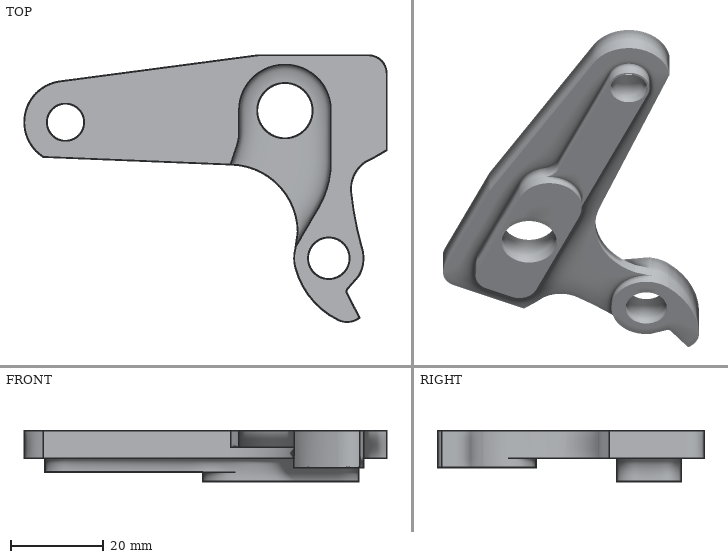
import cadquery as cq
import math

PLATE_BOTTOM = -6.0
HOOK_BOTTOM = -8.0
RIB_BOTTOM = -9.0
PAD_BOTTOM = -11.0
POCKET_FLOOR = -3.55

PIVOT_BORE_RADIUS = 6.0
ARM_X, ARM_Y = -47.6, -2.5
ARM_BORE_RADIUS = 4.0
HOOK_X, HOOK_Y = 9.5, -32.0
HOOK_BORE_RADIUS = 4.5

ARM_END_RADIUS = 9.0
PLATE_TOP = 12.0
PLATE_RIGHT = 22.1
CORNER_RADIUS = 4.0
SLOPE_END_X = -5.8
ARM_LOWER_LEFT = (-52.4, -10.1)
ARM_LOWER_RIGHT = (-11.8, -11.7)
THROAT_MIDDLE = (-1.2, -16.45)
THROAT_END = (2.75, -26.35)
PLATE_LOWER_RIGHT = (PLATE_RIGHT, -8.6)
NOTCH_CURVE_END = (19.4, -10.15)
NOTCH_TOP = (17.55, -11.1)
NOTCH_SIDE = (14.6, -15.0)
NECK_TOP = (14.4, -17.8)
NECK_MIDDLE = (14.8, -20.85)

LOBE_RADIUS = 7.55
LOBE_TOP_RIGHT_ANGLE = 12
LOBE_BOTTOM_RIGHT_ANGLE = -31
LOBE_TOP_LEFT_ANGLE = 166
LOBE_BOTTOM_LEFT_ANGLE = 195
TAIL_NOTCH_UPPER = (13.6, -38.6)
TAIL_NOTCH_MIDDLE = (13.4, -39.2)
TAIL_NOTCH_LOWER = (13.5, -39.7)
TAIL_POINT = (16.2, -44.9)
TAIL_LOWEST = (13.8, -45.9)
TAIL_CURVE_END = (11.65, -45.5)
TAIL_CURVE_MIDDLE = (5.7, -40.75)

POCKET_RADIUS = 10.0
POCKET_LEFT_BEND_Y = -5.1
POCKET_LEFT_BEND_END = (-10.5, -7.7)
POCKET_LEFT_EXIT = (-12.6, -14.1)
POCKET_RIGHT_BEND_Y = -11.2
POCKET_RIGHT_BEND_END = (7.4, -20.85)
POCKET_RIGHT_EXIT = (2.2, -29.7)

PAD_RADIUS = 7.0
PAD_CENTER_X = -10.85
PAD_RIGHT = 16.05
RIB_END_RADIUS = PAD_RADIUS + ARM_Y
RIB_FILLET = 4.0


def polar(x, y, radius, degrees):
    """Point on a circle about (x, y)."""
    angle = math.radians(degrees)
    return (x + radius * math.cos(angle), y + radius * math.sin(angle))


def layer(outline, bottom, top=0):
    """Extrude a closed XY outline between two levels."""
    return outline.extrude(top - bottom).translate((0, 0, bottom))


def disc(x, y, radius, bottom, top=0):
    return layer(cq.Workplane("XY").center(x, y).circle(radius), bottom, top)


def upper_arm_tangent():
    """Tangent point on the arm end of the slope to the plate's top edge."""
    dx = SLOPE_END_X - ARM_X
    dy = PLATE_TOP - ARM_Y
    direction = math.atan2(dy, dx) + math.acos(ARM_END_RADIUS / math.hypot(dx, dy))
    return polar(ARM_X, ARM_Y, ARM_END_RADIUS, math.degrees(direction))


def add_tail(path):
    """Continue clockwise from the right of the lobe around the tail to the left of the lobe."""
    return (
        path.lineTo(*TAIL_NOTCH_UPPER)
        .threePointArc(TAIL_NOTCH_MIDDLE, TAIL_NOTCH_LOWER)
        .lineTo(*TAIL_POINT)
        .threePointArc(TAIL_LOWEST, TAIL_CURVE_END)
        .threePointArc(TAIL_CURVE_MIDDLE, lobe_bottom_left)
    )


lobe_right = (HOOK_X + LOBE_RADIUS, HOOK_Y)
lobe_bottom_left = polar(HOOK_X, HOOK_Y, LOBE_RADIUS, LOBE_BOTTOM_LEFT_ANGLE)
lobe_bottom_right = polar(HOOK_X, HOOK_Y, LOBE_RADIUS, LOBE_BOTTOM_RIGHT_ANGLE)


def plate():
    lobe_top_right = polar(HOOK_X, HOOK_Y, LOBE_RADIUS, LOBE_TOP_RIGHT_ANGLE)
    lobe_top_left = polar(HOOK_X, HOOK_Y, LOBE_RADIUS, LOBE_TOP_LEFT_ANGLE)
    corner_x = PLATE_RIGHT - CORNER_RADIUS
    corner_y = PLATE_TOP - CORNER_RADIUS
    path = (
        cq.Workplane("XY")
        .moveTo(*ARM_LOWER_LEFT)
        .threePointArc((ARM_X - ARM_END_RADIUS, ARM_Y), upper_arm_tangent())
        .lineTo(SLOPE_END_X, PLATE_TOP)
        .lineTo(corner_x, PLATE_TOP)
        .threePointArc(polar(corner_x, corner_y, CORNER_RADIUS, 45), (PLATE_RIGHT, corner_y))
        .lineTo(*PLATE_LOWER_RIGHT)
        .lineTo(*NOTCH_CURVE_END)
        .lineTo(*NOTCH_TOP)
        .threePointArc(NOTCH_SIDE, NECK_TOP)
        .threePointArc(NECK_MIDDLE, lobe_top_right)
        .threePointArc(lobe_right, lobe_bottom_right)
    )
    outline = (
        add_tail(path)
        .threePointArc((HOOK_X - LOBE_RADIUS, HOOK_Y), lobe_top_left)
        .lineTo(*THROAT_END)
        .threePointArc(THROAT_MIDDLE, ARM_LOWER_RIGHT)
        .close()
    )
    return layer(outline, PLATE_BOTTOM)


def hook():
    """Extra thickness below the plate, shaped as the full round lobe and its tail."""
    lobe_top = (HOOK_X, HOOK_Y + LOBE_RADIUS)
    path = cq.Workplane("XY").moveTo(*lobe_bottom_left).threePointArc(lobe_top, lobe_bottom_right)
    return layer(add_tail(path).close(), HOOK_BOTTOM, PLATE_BOTTOM)


def pad():
    """Underside pad: round left end, square right end with rounded corners."""
    length = PAD_RIGHT - PAD_CENTER_X
    block = layer(
        cq.Workplane("XY").center(PAD_CENTER_X + length / 2, 0).rect(length, 2 * PAD_RADIUS),
        PAD_BOTTOM,
        PLATE_BOTTOM,
    )
    block = block.edges("|Z and >X").fillet(CORNER_RADIUS)
    return block.union(disc(PAD_CENTER_X, 0, PAD_RADIUS, PAD_BOTTOM, PLATE_BOTTOM))


def rib():
    """Underside rib from the arm bore, blended into the round end of the pad."""
    top = ARM_Y + RIB_END_RADIUS
    blend_y = top + RIB_FILLET
    center_distance = PAD_RADIUS + RIB_FILLET
    blend_x = PAD_CENTER_X - math.sqrt(center_distance**2 - blend_y**2)
    angle = math.degrees(math.atan2(-blend_y, PAD_CENTER_X - blend_x))
    outline = (
        cq.Workplane("XY")
        .moveTo(PAD_CENTER_X, -PAD_RADIUS)
        .lineTo(ARM_X, -PAD_RADIUS)
        .threePointArc((ARM_X - RIB_END_RADIUS, ARM_Y), (ARM_X, top))
        .lineTo(blend_x, top)
        .threePointArc(
            polar(blend_x, blend_y, RIB_FILLET, (angle - 90) / 2),
            polar(blend_x, blend_y, RIB_FILLET, angle),
        )
        .lineTo(PAD_CENTER_X, 0)
        .close()
    )
    return layer(outline, RIB_BOTTOM, PLATE_BOTTOM)


def pocket():
    outline = (
        cq.Workplane("XY")
        .moveTo(*POCKET_LEFT_EXIT)
        .lineTo(*POCKET_LEFT_BEND_END)
        .tangentArcPoint((-POCKET_RADIUS, POCKET_LEFT_BEND_Y), relative=False)
        .lineTo(-POCKET_RADIUS, 0)
        .threePointArc((0, POCKET_RADIUS), (POCKET_RADIUS, 0))
        .lineTo(POCKET_RADIUS, POCKET_RIGHT_BEND_Y)
        .tangentArcPoint(POCKET_RIGHT_BEND_END, relative=False)
        .lineTo(*POCKET_RIGHT_EXIT)
        .close()
    )
    return layer(outline, POCKET_FLOOR)


result = plate().union(hook()).union(pad()).union(rib()).cut(pocket()).clean()
for bore_x, bore_y, bore_radius in (
    (0, 0, PIVOT_BORE_RADIUS),
    (ARM_X, ARM_Y, ARM_BORE_RADIUS),
    (HOOK_X, HOOK_Y, HOOK_BORE_RADIUS),
):
    result = result.cut(disc(bore_x, bore_y, bore_radius, PAD_BOTTOM))